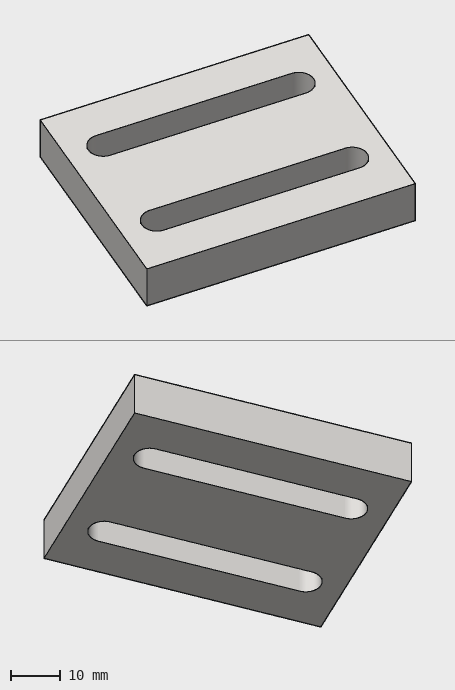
import cadquery as cq

plate_width = 50.0
plate_length = 60
plate_thickness = 10.0

slot_width = 6.6
slot_length = 50.3
slot_spacing = 25.1

plate = cq.Workplane("XY").box(plate_width, plate_length, plate_thickness)

slot_centers = [(-slot_spacing / 2, 0), (slot_spacing / 2, 0)]
result = (
    plate.faces(">Z")
    .workplane()
    .pushPoints(slot_centers)
    .slot2D(slot_length, slot_width, angle=90)
    .cutThruAll()
)